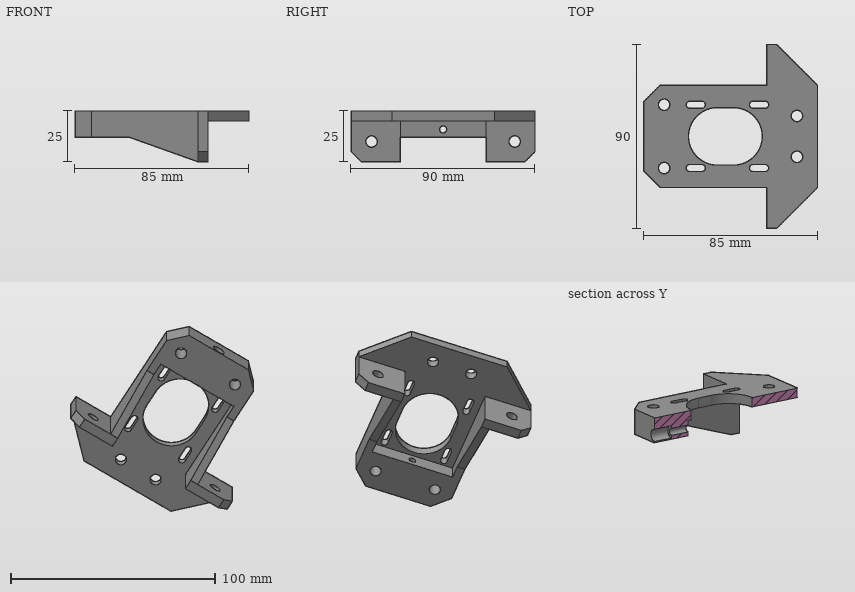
import cadquery as cq

length = 85.05
span = 90.0
depth = 25.0

body_width = 50.0
nose_chamfer = 8.0
plate_thickness = 5.0
nose_depth = 13.0
nose_length = 20.0
rib_thickness = 4.05
rib_slope_start = 26.4

flange_thickness = 4.95
ear_chamfer = (span - body_width) / 2
flange_end = length - ear_chamfer
flange_start = flange_end - flange_thickness
flange_corner = 5.0

bolt_diameter = 5.5
nose_hole_x = 10.0
tail_hole_x = 75.0
tail_hole_spacing = 20.0
flange_hole_spacing = 70.0
flange_hole_z = -15.0
screw_diameter = 3.3
screw_bore_diameter = 6.0
screw_bore_depth = nose_length / 2
screw_z = -9.1

motor_x = 40.95
motor_hole_spacing = 31.0
slot_length = 9.3
slot_width = 3.3
opening_x = 40.0
opening_length = 36.0
opening_width = 28.0


def make_outline_block():
    """Full-depth block with the plan outline of the bracket."""
    half_body = body_width / 2
    half_span = span / 2
    half_nose = half_body - nose_chamfer
    upper_half = [
        (0, half_nose),
        (nose_chamfer, half_body),
        (flange_start, half_body),
        (flange_start, half_span),
        (flange_end, half_span),
        (length, half_body),
    ]
    lower_half = [(x, -y) for x, y in reversed(upper_half)]
    return cq.Workplane("XY").polyline(upper_half + lower_half).close().extrude(-depth)


def make_side_envelope():
    """Side profile: deep nose, sloping ribs, flange and thin tail plate."""
    return (
        cq.Workplane("XZ")
        .polyline([
            (0, 0),
            (length, 0),
            (length, -plate_thickness),
            (flange_end, -plate_thickness),
            (flange_end, -depth),
            (flange_start, -depth),
            (rib_slope_start, -nose_depth),
            (0, -nose_depth),
        ])
        .close()
        .extrude(span / 2, both=True)
    )


def make_underside_pocket():
    """Space between the ribs, open towards the tail."""
    return (
        cq.Workplane("XY", origin=(nose_length, 0, -depth))
        .rect(length, body_width - 2 * rib_thickness)
        .extrude(depth - plate_thickness)
        .translate((length / 2, 0, 0))
    )


def make_vertical_cutters():
    """Bolt holes, motor slots and central opening."""
    plane = cq.Workplane("XY")
    half_motor = motor_hole_spacing / 2
    half_tail = tail_hole_spacing / 2
    hole_centers = [
        (nose_hole_x, half_motor),
        (nose_hole_x, -half_motor),
        (tail_hole_x, half_tail),
        (tail_hole_x, -half_tail),
    ]
    holes = (
        plane.pushPoints(hole_centers)
        .circle(bolt_diameter / 2)
        .extrude(-depth)
    )
    slots = (
        plane.center(motor_x, 0)
        .rect(motor_hole_spacing, motor_hole_spacing, forConstruction=True)
        .vertices()
        .slot2D(slot_length, slot_width)
        .extrude(-depth)
    )
    opening = plane.center(opening_x, 0).slot2D(opening_length, opening_width).extrude(-depth)
    return holes.union(slots).union(opening)


def make_x_hole(y, z, diameter, hole_depth):
    """Cylinder along +X starting at the nose face."""
    return cq.Workplane("YZ", origin=(0, y, z)).circle(diameter / 2).extrude(hole_depth)


result = make_outline_block().intersect(make_side_envelope())

for ear_face in (">Y", "<Y"):
    result = result.faces(ear_face).edges("<Z").chamfer(flange_corner)

result = result.cut(make_underside_pocket()).cut(make_vertical_cutters())

for side in (-1, 1):
    result = result.cut(make_x_hole(side * flange_hole_spacing / 2, flange_hole_z, bolt_diameter, length))
result = result.cut(make_x_hole(0, screw_z, screw_diameter, length))
result = result.cut(make_x_hole(0, screw_z, screw_bore_diameter, screw_bore_depth))